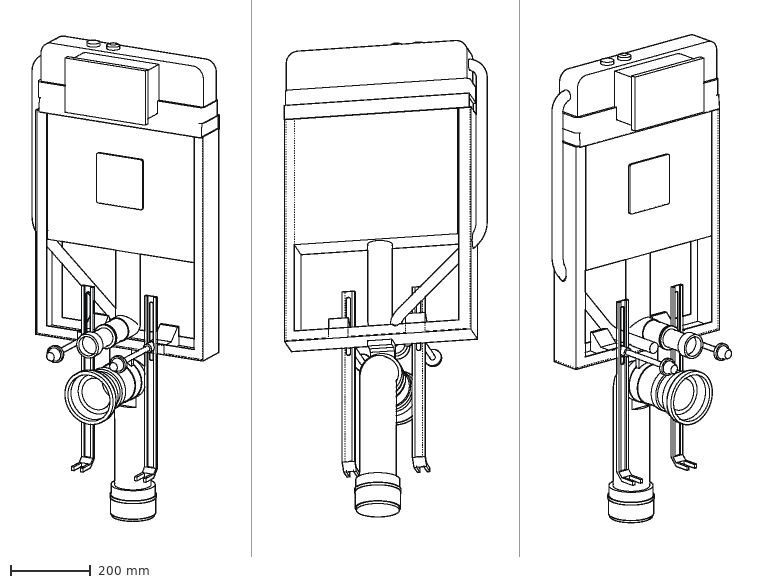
import cadquery as cq
import math


FRAME_LEFT, FRAME_RIGHT = -241.5, 235.8
FRAME_DEPTH = 83.5
FRAME_BOTTOM, FRAME_TOP = 457.0, 1045.0
OPENING_LEFT, OPENING_RIGHT = -210.5, 211.0
BAR_TOP = 483.5
FRAME_WALL = 3.0

BODY_LEFT = -208.0
BODY_FRONT = 1.0
BODY_BOTTOM = 711.0

TANK_LEFT, TANK_RIGHT = -230.5, 233.0
TANK_FRONT, TANK_BACK = 7.5, 76.0
TANK_TOP = 1224.5
TANK_CORNER_RADIUS = 30.0

CLIP_BOTTOM, CLIP_TOP = 1079.5, 1120.5
CLIP_LEFT, CLIP_RIGHT = -238.0, 235.8
CLIP_CORNER_RADIUS = 11.0

STRAP_BOTTOM = 1042.5
STRAP_LIP = 3.5
BACK_PLATE_THICKNESS = 4.0

BADGE_SIZE = 131.5
BADGE_BOTTOM = 829.0
BADGE_THICKNESS = 4.0
BADGE_CORNER_RADIUS = 6.0

BOX_HALF_WIDTH = 106.5
BOX_BOTTOM, BOX_TOP = 1087.5, 1214.5
COVER_HALF_WIDTH = 114.5
COVER_BOTTOM, COVER_TOP = 1079.5, 1222.0
COVER_BACK, COVER_FRONT = -65.5, -79.0

CAP_DIAMETER = 33.0
CAP_Y = 43.5
PLAIN_CAP_X, KNOB_X = -100.0, -43.5
CAP_HEIGHT = 8.0
KNOB_DIAMETER = 19.0
TOTAL_HEIGHT = 1236.24

SUPPLY_DIAMETER = 28.0
SUPPLY_X = -262.0
SUPPLY_Y = 47.5
SUPPLY_INLET_Z = 1168.0
SUPPLY_TOP_BEND_RADIUS = 37.0
SUPPLY_BEND_Z = 722.0
SUPPLY_LOW_BEND_TANGENT = 29.0
SUPPLY_END_X, SUPPLY_END_Y, SUPPLY_END_Z = -47.0, 92.0, 490.0
SUPPLY_END_BEND_TANGENT = 28.0
SUPPLY_END_FRONT = -74.0

FLUSH_DIAMETER = 62.0
FLUSH_Y = 41.0
FLUSH_AXIS_Z = 508.0
FLUSH_SLEEVE_DIAMETER = 58.0
FLUSH_SLEEVE_BACK = -12.0
FLUSH_RING_BACK, FLUSH_RING_FRONT = -75.0, -81.5
FLUSH_SPIGOT_DIAMETER = 47.0
FLUSH_COLLAR_BACK, FLUSH_COLLAR_FRONT = -147.5, -171.5
FLUSH_BORE_DIAMETER = 50.0
FLUSH_BORE_DEPTH = 20.0

WASTE_AXIS_Z = 370.0
WASTE_PIPE_RADIUS = 46.0
WASTE_Y = 66.0
WASTE_BEND_Y = 35.0
WASTE_FLAT_Y = 30.0
WASTE_FLAT_BOTTOM = 297.0
WASTE_COLLAR_RADIUS, WASTE_COLLAR_FRONT = 54.5, 13.0
WASTE_BAND_RADIUS, WASTE_BAND_FRONT = 53.0, -17.0
WASTE_SLEEVE_RADIUS = 51.0
WASTE_RING_BACK, WASTE_RING_FRONT = -72.0, -89.5
WASTE_NECK_RADIUS = 48.5
WASTE_CONE_BACK = -121.0
WASTE_CONE_BACK_RADIUS, WASTE_CONE_FRONT_RADIUS = 59.5, 68.0
WASTE_FLANGE_RADIUS = 69.0
WASTE_FLANGE_BACK, WASTE_FLANGE_FRONT = -148.0, -164.0
WASTE_BORE_RADIUS = 41.0
WASTE_BORE_BACK = -20.0
WASTE_CONE_WALL = 4.0
WASTE_STEP_RADIUS, WASTE_MOUTH_RADIUS = 52.0, 60.0

OUTLET_Y = 67.47
OUTLET_RING_RADIUS = 58.5
OUTLET_RING_BOTTOM, OUTLET_RING_TOP = 48.0, 55.0
SOCKET_RADIUS, SOCKET_TOP = 55.5, 81.0
OUTLET_RADIUS = 57.0
OUTLET_END_RADIUS, OUTLET_END_HEIGHT = 54.0, 6.5

BRACKET_HALF_WIDTH = 31.0
BRACKET_DEPTH = 46.0
BRACKET_THICKNESS = 14.0
BRACKET_DROP = 6.0
BRACKET_PLATE_BACK, BRACKET_PLATE_FRONT = 13.0, 1.0
BRACKET_PLATE_BOTTOM = 364.0

STUD_SPACING = 180.0
RAIL_WIDTH = 32.5
RAIL_DEPTH = 8.0
RAIL_FLANGE = 7.0
RAIL_WEB = 3.0
RAIL_TOP = 606.5
RAIL_FOOT_BOTTOM = 136.5
RAIL_FOOT_THICKNESS = 10.0
RAIL_FOOT_FRONT = -61.0
RAIL_BEND = 20.0
SLOT_WIDTH = 11.0
SLOT_BOTTOM, SLOT_TOP = 438.0, 591.0

STUD_Z = 475.0
STUD_NUT_FRONT = -23.0
STUD_CAP_BACK = -170.0
STUD_CAP_RIM = 8.5
STUD_NUT_RADIUS, STUD_ROD_RADIUS, STUD_RIM_RADIUS = 11.5, 6.75, 21.5
DOME_BACK_RADIUS, DOME_MIDDLE_RADIUS, DOME_FRONT_RADIUS = 17.0, 13.5, 11.0
DOME_LENGTH = 8.0
STUD_TIP_RADIUS, STUD_TIP_LENGTH = 2.0, 2.5
STUD_TIP_Y = -203.2
GUSSET_WIDTH = 50.0
GUSSET_OUTER = 123.5
GUSSET_TOP, GUSSET_SHELF_Z = 510.0, 480.0
GUSSET_SLOPE_BACK, GUSSET_SLOPE_FRONT = 73.0, 41.0


def block(x0, x1, y0, y1, z0, z1):
    """Box between two opposite corners."""
    return cq.Workplane("XY").box(x1 - x0, y1 - y0, z1 - z0, centered=False).translate((x0, y0, z0))


def turned_along_y(profile, x, z):
    """Solid of revolution about a line along Y, from (radius, y) points."""
    outline = [(0, profile[0][1])] + profile + [(0, profile[-1][1])]
    return cq.Workplane("XY").polyline(outline).close().revolve(360, (0, 0), (0, 1)).translate((x, 0, z))


def turned_along_z(profile, x, y):
    """Solid of revolution about a vertical line, from (radius, z) points."""
    outline = [(0, profile[0][1])] + profile + [(0, profile[-1][1])]
    return cq.Workplane("XZ").polyline(outline).close().revolve(360, (0, 0), (0, 1)).translate((x, y, 0))


def make_frame():
    """U-shaped frame of channel section, with its channel open to the middle."""
    frame = block(FRAME_LEFT, FRAME_RIGHT, 0, FRAME_DEPTH, FRAME_BOTTOM, FRAME_TOP)
    opening = block(OPENING_LEFT, OPENING_RIGHT, 0, FRAME_DEPTH, BAR_TOP, FRAME_TOP)
    channel = block(
        FRAME_LEFT + FRAME_WALL, FRAME_RIGHT - FRAME_WALL,
        FRAME_WALL, FRAME_DEPTH - FRAME_WALL,
        FRAME_BOTTOM + FRAME_WALL, FRAME_TOP,
    )
    return frame.cut(opening).cut(channel)


def make_cistern():
    """Body in the frame, rounded tank above it, and the clip, strap and back plate between them."""
    body = block(BODY_LEFT, OPENING_RIGHT, BODY_FRONT, FRAME_DEPTH, BODY_BOTTOM, FRAME_TOP)
    tank = block(TANK_LEFT, TANK_RIGHT, TANK_FRONT, TANK_BACK, STRAP_BOTTOM, TANK_TOP)
    tank = tank.edges("|Y and >Z").fillet(TANK_CORNER_RADIUS)
    clip = block(CLIP_LEFT, CLIP_RIGHT, 0, FRAME_DEPTH, CLIP_BOTTOM, CLIP_TOP)
    clip = clip.edges("|Z").fillet(CLIP_CORNER_RADIUS)
    strap = block(TANK_LEFT, TANK_RIGHT, 0, FRAME_DEPTH, STRAP_BOTTOM, CLIP_BOTTOM)
    lip_outline = [
        (BODY_FRONT, STRAP_BOTTOM),
        (-STRAP_LIP, STRAP_BOTTOM),
        (0, CLIP_BOTTOM),
        (BODY_FRONT, CLIP_BOTTOM),
    ]
    lip_start = cq.Workplane("YZ", origin=(TANK_LEFT, 0, 0))
    lip = lip_start.polyline(lip_outline).close().extrude(TANK_RIGHT - TANK_LEFT)
    back_plate = block(
        CLIP_LEFT, CLIP_RIGHT, FRAME_DEPTH, FRAME_DEPTH + BACK_PLATE_THICKNESS, STRAP_BOTTOM, CLIP_BOTTOM
    )
    return body.union(tank).union(clip).union(strap).union(lip).union(back_plate)


def make_badge():
    half = BADGE_SIZE / 2
    badge = block(-half, half, -BADGE_THICKNESS, BODY_FRONT, BADGE_BOTTOM, BADGE_BOTTOM + BADGE_SIZE)
    return badge.edges("|Y").fillet(BADGE_CORNER_RADIUS)


def make_button_box():
    box = block(-BOX_HALF_WIDTH, BOX_HALF_WIDTH, COVER_BACK, TANK_FRONT, BOX_BOTTOM, BOX_TOP)
    cover = block(-COVER_HALF_WIDTH, COVER_HALF_WIDTH, COVER_FRONT, COVER_BACK, COVER_BOTTOM, COVER_TOP)
    return box.union(cover)


def make_caps():
    cap_radius = CAP_DIAMETER / 2
    cap_top = TANK_TOP + CAP_HEIGHT
    cap_profile = [(cap_radius, TANK_TOP), (cap_radius, cap_top)]
    knob_profile = cap_profile + [(KNOB_DIAMETER / 2, TOTAL_HEIGHT)]
    plain_cap = turned_along_z(cap_profile, PLAIN_CAP_X, CAP_Y)
    return plain_cap.union(turned_along_z(knob_profile, KNOB_X, CAP_Y))


def make_supply_pipe():
    """Pipe leaving the cistern side, dropping beside the frame and slanting through it."""
    top = cq.Vector(SUPPLY_X, SUPPLY_Y, SUPPLY_INLET_Z - SUPPLY_TOP_BEND_RADIUS)
    inlet = cq.Vector(SUPPLY_X + SUPPLY_TOP_BEND_RADIUS, SUPPLY_Y, SUPPLY_INLET_Z)
    bend = cq.Vector(SUPPLY_X, SUPPLY_Y, SUPPLY_BEND_Z)
    end = cq.Vector(SUPPLY_END_X, SUPPLY_END_Y, SUPPLY_END_Z)
    slope = (end - bend).normalized()
    low_start = bend + cq.Vector(0, 0, SUPPLY_LOW_BEND_TANGENT)
    low_end = bend + slope * SUPPLY_LOW_BEND_TANGENT
    end_start = end - slope * SUPPLY_END_BEND_TANGENT
    end_finish = end - cq.Vector(0, SUPPLY_END_BEND_TANGENT, 0)
    front = cq.Vector(SUPPLY_END_X, SUPPLY_END_FRONT, SUPPLY_END_Z)
    path = cq.Wire.assembleEdges([
        cq.Edge.makeTangentArc(inlet, cq.Vector(-1, 0, 0), top),
        cq.Edge.makeLine(top, low_start),
        cq.Edge.makeTangentArc(low_start, cq.Vector(0, 0, -1), low_end),
        cq.Edge.makeLine(low_end, end_start),
        cq.Edge.makeTangentArc(end_start, slope, end_finish),
        cq.Edge.makeLine(end_finish, front),
    ])
    radius = SUPPLY_DIAMETER / 2
    start_plane = cq.Plane(inlet.toTuple(), (0, 1, 0), (-1, 0, 0))
    return cq.Workplane(start_plane).circle(radius).sweep(path)


def make_flush_pipe():
    radius = FLUSH_DIAMETER / 2
    sleeve_radius = FLUSH_SLEEVE_DIAMETER / 2
    spigot_radius = FLUSH_SPIGOT_DIAMETER / 2
    drop = turned_along_z([(radius, FLUSH_AXIS_Z), (radius, BODY_BOTTOM)], 0, FLUSH_Y)
    elbow = cq.Workplane("XY").sphere(radius).translate((0, FLUSH_Y, FLUSH_AXIS_Z))
    outlet = turned_along_y([
        (radius, FLUSH_Y),
        (radius, FLUSH_SLEEVE_BACK),
        (sleeve_radius, FLUSH_SLEEVE_BACK),
        (sleeve_radius, FLUSH_RING_BACK),
        (radius, FLUSH_RING_BACK),
        (radius, FLUSH_RING_FRONT),
        (spigot_radius, FLUSH_RING_FRONT),
        (spigot_radius, FLUSH_COLLAR_BACK),
        (radius, FLUSH_COLLAR_BACK),
        (radius, FLUSH_COLLAR_FRONT),
    ], 0, FLUSH_AXIS_Z)
    return drop.union(elbow).union(outlet)


def make_flush_bore():
    """Blind bore in the collar at the front end of the flush pipe."""
    radius = FLUSH_BORE_DIAMETER / 2
    bore_end = FLUSH_COLLAR_FRONT + FLUSH_BORE_DEPTH
    return turned_along_y([(radius, FLUSH_COLLAR_FRONT), (radius, bore_end)], 0, FLUSH_AXIS_Z)


def make_waste_inlet():
    """Horizontal socket of the waste bend, stepped from back to front."""
    return turned_along_y([
        (WASTE_COLLAR_RADIUS, WASTE_BEND_Y),
        (WASTE_COLLAR_RADIUS, WASTE_COLLAR_FRONT),
        (WASTE_BAND_RADIUS, WASTE_COLLAR_FRONT),
        (WASTE_BAND_RADIUS, WASTE_BAND_FRONT),
        (WASTE_SLEEVE_RADIUS, WASTE_BAND_FRONT),
        (WASTE_SLEEVE_RADIUS, WASTE_RING_BACK),
        (WASTE_COLLAR_RADIUS, WASTE_RING_BACK),
        (WASTE_COLLAR_RADIUS, WASTE_RING_FRONT),
        (WASTE_NECK_RADIUS, WASTE_RING_FRONT),
        (WASTE_NECK_RADIUS, WASTE_CONE_BACK),
        (WASTE_CONE_BACK_RADIUS, WASTE_CONE_BACK),
        (WASTE_CONE_FRONT_RADIUS, WASTE_FLANGE_BACK),
        (WASTE_FLANGE_RADIUS, WASTE_FLANGE_BACK),
        (WASTE_FLANGE_RADIUS, WASTE_FLANGE_FRONT),
    ], 0, WASTE_AXIS_Z)


def make_waste_bore():
    """Flared mouth of the socket, stepping down to a blind bore."""
    step_y = WASTE_CONE_BACK - WASTE_CONE_WALL
    return turned_along_y([
        (WASTE_BORE_RADIUS, WASTE_BORE_BACK),
        (WASTE_BORE_RADIUS, step_y),
        (WASTE_STEP_RADIUS, step_y),
        (WASTE_MOUTH_RADIUS, WASTE_FLANGE_BACK),
        (WASTE_MOUTH_RADIUS, WASTE_FLANGE_FRONT),
    ], 0, WASTE_AXIS_Z)


def make_waste_bend():
    """Quarter bend from the horizontal socket down into the vertical pipe."""
    bend_radius = WASTE_Y - WASTE_BEND_Y
    bend_z = WASTE_AXIS_Z - bend_radius
    half_chord = math.sqrt(WASTE_PIPE_RADIUS**2 - bend_radius**2)
    bend = (
        cq.Workplane("XY", origin=(0, WASTE_BEND_Y, bend_z))
        .moveTo(-half_chord, 0)
        .threePointArc((0, bend_radius + WASTE_PIPE_RADIUS), (half_chord, 0))
        .close()
        .revolve(90, (0, 0), (1, 0))
    )
    drop = turned_along_z([(WASTE_PIPE_RADIUS, SOCKET_TOP), (WASTE_PIPE_RADIUS, bend_z)], 0, WASTE_Y)
    flat = block(
        -WASTE_PIPE_RADIUS, WASTE_PIPE_RADIUS,
        WASTE_Y - WASTE_PIPE_RADIUS, WASTE_FLAT_Y,
        WASTE_FLAT_BOTTOM, bend_z,
    )
    return bend.union(drop.cut(flat))


def make_outlet_socket():
    """Stepped socket at the lower end of the waste pipe."""
    return turned_along_z([
        (OUTLET_END_RADIUS, 0),
        (OUTLET_END_RADIUS, OUTLET_END_HEIGHT),
        (OUTLET_RADIUS, OUTLET_END_HEIGHT),
        (OUTLET_RADIUS, OUTLET_RING_BOTTOM),
        (OUTLET_RING_RADIUS, OUTLET_RING_BOTTOM),
        (OUTLET_RING_RADIUS, OUTLET_RING_TOP),
        (SOCKET_RADIUS, OUTLET_RING_TOP),
        (SOCKET_RADIUS, SOCKET_TOP),
    ], 0, OUTLET_Y)


def make_waste_bracket():
    """Tapered arm under the crossbar with a plate hanging down to the waste socket."""
    arm_bottom = FRAME_BOTTOM - BRACKET_THICKNESS
    arm_end = arm_bottom - BRACKET_DROP
    profile = (
        cq.Workplane("YZ", origin=(-BRACKET_HALF_WIDTH, 0, 0))
        .moveTo(BRACKET_PLATE_FRONT, FRAME_BOTTOM)
        .lineTo(BRACKET_DEPTH, FRAME_BOTTOM)
        .lineTo(BRACKET_DEPTH, arm_bottom)
        .lineTo(BRACKET_DEPTH / 2, arm_bottom)
        .lineTo(BRACKET_PLATE_BACK, arm_end)
        .lineTo(BRACKET_PLATE_BACK, BRACKET_PLATE_BOTTOM)
        .lineTo(BRACKET_PLATE_FRONT, BRACKET_PLATE_BOTTOM)
        .close()
    )
    return profile.extrude(2 * BRACKET_HALF_WIDTH)


def make_rail(x):
    """Channel rail, open to the front, with a forked foot turned forward."""
    half_width = RAIL_WIDTH / 2
    foot_top = RAIL_FOOT_BOTTOM + RAIL_FOOT_THICKNESS
    bend_top = foot_top + RAIL_BEND - RAIL_DEPTH
    bend_front = -RAIL_BEND
    outline = [
        (0, RAIL_TOP),
        (0, RAIL_FOOT_BOTTOM + RAIL_BEND),
        (bend_front, RAIL_FOOT_BOTTOM),
        (RAIL_FOOT_FRONT, RAIL_FOOT_BOTTOM),
        (RAIL_FOOT_FRONT, foot_top),
        (bend_front, foot_top),
        (-RAIL_DEPTH, bend_top),
        (-RAIL_DEPTH, RAIL_TOP),
    ]
    rail = cq.Workplane("YZ", origin=(x - half_width, 0, 0)).polyline(outline).close().extrude(RAIL_WIDTH)
    groove_half = half_width - RAIL_FLANGE
    groove = block(x - groove_half, x + groove_half, -RAIL_DEPTH, -RAIL_WEB, bend_top, RAIL_TOP)
    fork = block(
        x - groove_half, x + groove_half, RAIL_FOOT_FRONT, bend_front, RAIL_FOOT_BOTTOM, foot_top
    )
    slot = (
        cq.Workplane("XZ", origin=(x, 0, (SLOT_BOTTOM + SLOT_TOP) / 2))
        .slot2D(SLOT_TOP - SLOT_BOTTOM, SLOT_WIDTH, 90)
        .extrude(RAIL_DEPTH)
    )
    return rail.cut(groove).cut(fork).cut(slot)


def make_stud(x):
    """Threaded rod with its nut at the rail and a domed cap at the tip."""
    rim_front = STUD_CAP_BACK - STUD_CAP_RIM
    return turned_along_y([
        (STUD_NUT_RADIUS, 0),
        (STUD_NUT_RADIUS, STUD_NUT_FRONT),
        (STUD_ROD_RADIUS, STUD_NUT_FRONT),
        (STUD_ROD_RADIUS, STUD_CAP_BACK),
        (STUD_RIM_RADIUS, STUD_CAP_BACK),
        (STUD_RIM_RADIUS, rim_front),
        (DOME_BACK_RADIUS, rim_front),
        (DOME_MIDDLE_RADIUS, STUD_TIP_Y + DOME_LENGTH),
        (DOME_FRONT_RADIUS, STUD_TIP_Y + STUD_TIP_LENGTH),
        (STUD_TIP_RADIUS, STUD_TIP_Y),
    ], x, STUD_Z)


def make_gusset(side):
    """Block in the crossbar channel beside a rail, with a back that slopes down to a front shelf."""
    back = FRAME_DEPTH - FRAME_WALL
    floor = FRAME_BOTTOM + FRAME_WALL
    outline = [
        (FRAME_WALL, floor),
        (back, floor),
        (back, GUSSET_TOP),
        (GUSSET_SLOPE_BACK, GUSSET_TOP),
        (GUSSET_SLOPE_FRONT, GUSSET_SHELF_Z),
        (FRAME_WALL, GUSSET_SHELF_Z),
    ]
    start = side * GUSSET_OUTER
    gusset = cq.Workplane("YZ", origin=(start, 0, 0)).polyline(outline).close()
    return gusset.extrude(-side * GUSSET_WIDTH)


result = (
    make_frame()
    .union(make_cistern())
    .union(make_badge())
    .union(make_button_box())
    .union(make_caps())
    .union(make_supply_pipe())
    .union(make_flush_pipe())
    .union(make_waste_bracket())
    .union(make_waste_inlet())
    .union(make_waste_bend())
    .union(make_outlet_socket())
)
for side in (-1, 1):
    stud_x = side * STUD_SPACING / 2
    result = result.union(make_rail(stud_x)).union(make_stud(stud_x)).union(make_gusset(side))
result = result.cut(make_flush_bore()).cut(make_waste_bore())